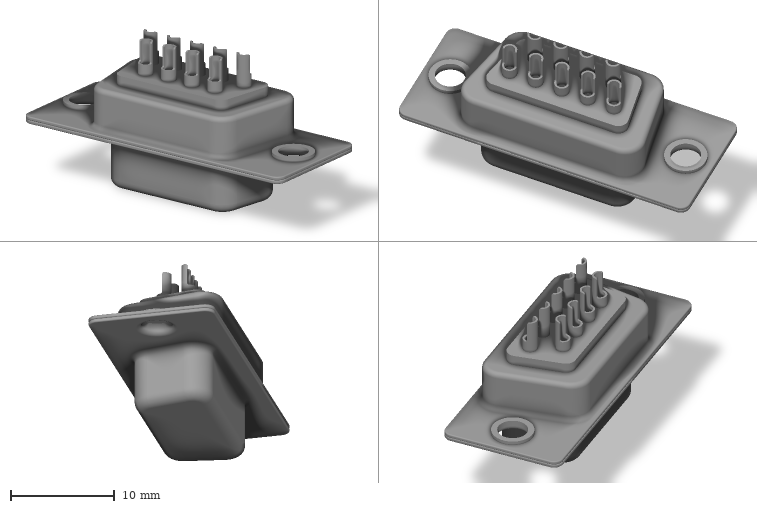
import cadquery as cq
import math


flange_length = 30.8
flange_width = 12.55
flange_corner_radius = 1.0
sheet_thickness = 0.37
sheet_edge_radius = 0.12
sheet_count = 2

mount_spacing = 25.02
mount_hole_diameter = 3.0
collar_diameter = 4.2
collar_height = 0.4
mount_mouth_radius = 0.52

side_angle = 10.0
shell_corner_radius = 2.0
plug_mean_width = 15.65
plug_depth = 7.9
plug_height = 5.6
plug_end_radius = 1.0
body_mean_width = 18.1
body_depth = 10.72
body_height = 4.15
body_edge_radius = 0.5
root_radius = 0.5
insert_mean_width = 14.1
insert_depth = 6.85
insert_corner_radius = 1.02
insert_height = 1.05

cup_counts = {1: 5, -1: 4}
cup_pitch = 2.77
row_spacing = 2.83
cup_diameter = 1.48
cup_bore_diameter = 1.08
cup_bore_depth = 3.0
drill_tip_angle = 118.0
cup_height = 3.35
cup_opening_height = 2.22
cup_cut_radius = 0.2

flange_bottom = plug_height
flange_top = flange_bottom + sheet_count * sheet_thickness
body_top = flange_top + body_height
insert_top = body_top + insert_height
cup_top = insert_top + cup_height
opening_floor = cup_top - cup_opening_height


def d_prism(mean_width, depth, corner_radius, bottom, height):
    """Rounded trapezoid, wider on the +Y side, extruded upward."""
    taper = depth / 2 * math.tan(math.radians(side_angle))
    wide = mean_width / 2 + taper
    narrow = mean_width / 2 - taper
    outline = [
        (-wide, depth / 2),
        (wide, depth / 2),
        (narrow, -depth / 2),
        (-narrow, -depth / 2),
    ]
    prism = cq.Workplane("XY").workplane(offset=bottom).polyline(outline).close().extrude(height)
    return prism.edges("|Z").fillet(corner_radius)


def flange_sheet(bottom):
    return (
        cq.Workplane("XY")
        .workplane(offset=bottom)
        .rect(flange_length, flange_width)
        .extrude(sheet_thickness)
        .edges("|Z")
        .fillet(flange_corner_radius)
        .faces("<Z or >Z")
        .edges()
        .fillet(sheet_edge_radius)
    )


def fillet_root(solid, mean_width, depth, level):
    """Round the inner corner where a D-shaped shell meets the flange at a given level."""
    reach_x = (mean_width + depth * math.tan(math.radians(side_angle))) / 2
    reach_y = depth / 2
    margin = 0.03
    root_box = cq.selectors.BoxSelector(
        (-reach_x - margin, -reach_y - margin, level - margin),
        (reach_x + margin, reach_y + margin, level + margin),
    )
    return solid.edges(root_box).fillet(root_radius)


def solder_cup(x, side):
    """Bored post whose upper half is cut away on the outward side."""
    radius = cup_diameter / 2
    post = cq.Workplane("XY").workplane(offset=insert_top).circle(radius).extrude(cup_height)

    opening = (
        cq.Workplane("YZ")
        .moveTo(-cup_cut_radius, cup_top)
        .radiusArc((0, cup_top - cup_cut_radius), cup_cut_radius)
        .lineTo(0, opening_floor + cup_cut_radius)
        .radiusArc((cup_cut_radius, opening_floor), -cup_cut_radius)
        .lineTo(cup_diameter, opening_floor)
        .lineTo(cup_diameter, cup_top)
        .close()
        .extrude(radius, both=True)
    )

    bore_radius = cup_bore_diameter / 2
    bore_floor = cup_top - cup_bore_depth
    tip_depth = bore_radius / math.tan(math.radians(drill_tip_angle / 2))
    bore = (
        cq.Workplane("XZ")
        .moveTo(0, bore_floor - tip_depth)
        .lineTo(bore_radius, bore_floor)
        .lineTo(bore_radius, cup_top)
        .lineTo(0, cup_top)
        .close()
        .revolve(360, (0, 0), (0, 1))
    )

    cup = post.cut(opening).cut(bore)
    if side < 0:
        cup = cup.mirror("XZ")
    return cup.translate((x, side * row_spacing / 2, 0))


plug = d_prism(plug_mean_width, plug_depth, shell_corner_radius, 0, plug_height)
plug = plug.faces("<Z").edges().fillet(plug_end_radius)
body = d_prism(body_mean_width, body_depth, shell_corner_radius, flange_top, body_height)
body = body.faces(">Z").edges().fillet(body_edge_radius)
insert = d_prism(insert_mean_width, insert_depth, insert_corner_radius, body_top, insert_height)

result = plug.union(body)
for index in range(sheet_count):
    result = result.union(flange_sheet(flange_bottom + index * sheet_thickness))
result = fillet_root(result, plug_mean_width, plug_depth, flange_bottom)
result = fillet_root(result, body_mean_width, body_depth, flange_top)
result = result.union(insert)

mount_points = [(-mount_spacing / 2, 0), (mount_spacing / 2, 0)]
collars = (
    cq.Workplane("XY")
    .workplane(offset=flange_bottom + sheet_thickness)
    .pushPoints(mount_points)
    .circle(collar_diameter / 2)
    .extrude(sheet_thickness + collar_height)
)
mount_holes = cq.Workplane("XY").pushPoints(mount_points).circle(mount_hole_diameter / 2).extrude(cup_top)
result = result.union(collars).cut(mount_holes)
for x, y in mount_points:
    reach = mount_hole_diameter / 2
    mouth_edge = cq.selectors.BoxSelector(
        (x - reach, y - reach, flange_bottom - sheet_edge_radius),
        (x + reach, y + reach, flange_bottom + sheet_edge_radius),
    )
    result = result.edges(mouth_edge).fillet(mount_mouth_radius)

for side, count in cup_counts.items():
    for index in range(count):
        x = (index - (count - 1) / 2) * cup_pitch
        result = result.union(solder_cup(x, side))